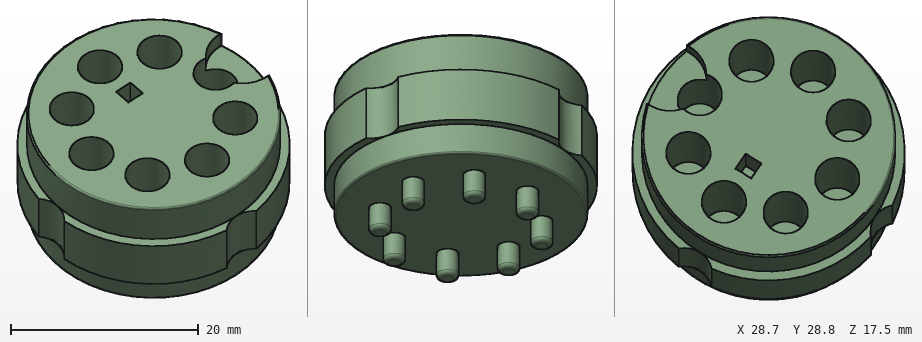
import cadquery as cq

body_radius = 27.0 / 2
body_height = 14.5
rim_fillet = 0.2

flange_radius = 14.5
flange_bottom = 3.5
flange_height = 6.1

scallop_radius = 3.0
scallop_offset = body_radius + scallop_radius
scallop_angles = (0, 180, 270)

contact_count = 8
contact_circle_radius = 8.72
socket_diameter = 4.72
socket_depth = 10.0
pin_diameter = 2.36
pin_length = 3.0
pin_tip_fillet = 0.5

keyway_radius = 3.9
keyway_center_y = 12.5
keyway_depth = 2.0

pocket_side = 2.0
pocket_center_x = -3.93
pocket_depth = 4.0


def make_body():
    return (
        cq.Workplane("XY")
        .circle(body_radius)
        .extrude(body_height)
        .edges("%CIRCLE")
        .fillet(rim_fillet)
    )


def make_flange():
    flange = (
        cq.Workplane("XY")
        .workplane(offset=flange_bottom)
        .circle(flange_radius)
        .extrude(flange_height)
    )
    scallop = (
        cq.Workplane("XY")
        .workplane(offset=flange_bottom)
        .center(scallop_offset, 0)
        .circle(scallop_radius)
        .extrude(flange_height)
    )
    for angle in scallop_angles:
        flange = flange.cut(scallop.rotate((0, 0, 0), (0, 0, 1), angle))
    return flange


def make_keyway():
    round_end = (
        cq.Workplane("XY")
        .workplane(offset=body_height - keyway_depth)
        .center(0, keyway_center_y)
        .circle(keyway_radius)
        .extrude(keyway_depth)
    )
    mouth = (
        cq.Workplane("XY")
        .workplane(offset=body_height - keyway_depth)
        .center(0, keyway_center_y)
        .rect(2 * keyway_radius, 2 * keyway_radius)
        .extrude(keyway_depth)
        .translate((0, keyway_radius, 0))
    )
    return round_end.union(mouth)


def make_sockets():
    return (
        cq.Workplane("XY")
        .workplane(offset=body_height - socket_depth)
        .polarArray(contact_circle_radius, 0, 360, contact_count)
        .circle(socket_diameter / 2)
        .extrude(socket_depth)
    )


def make_pins():
    return (
        cq.Workplane("XY")
        .polarArray(contact_circle_radius, 0, 360, contact_count)
        .circle(pin_diameter / 2)
        .extrude(-pin_length)
        .faces("<Z")
        .edges()
        .fillet(pin_tip_fillet)
    )


def make_pocket():
    return (
        cq.Workplane("XY")
        .workplane(offset=body_height - pocket_depth)
        .center(pocket_center_x, 0)
        .rect(pocket_side, pocket_side)
        .extrude(pocket_depth)
    )


result = (
    make_body()
    .union(make_flange())
    .cut(make_keyway())
    .cut(make_sockets())
    .cut(make_pocket())
    .union(make_pins())
)